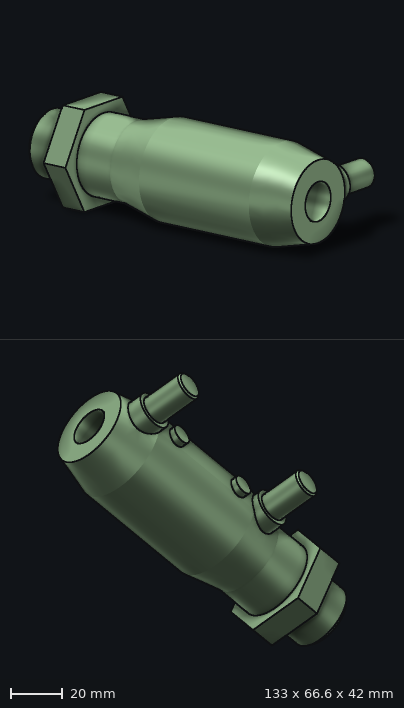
import cadquery as cq
import math

length = 133.0
body_radius = 21.0
neck_radius = 16.8
spigot_radius = 14.0
spigot_chamfer = 2.0
bore_radius = 8.0
nut_start = 16.5
nut_end = 27.3
neck_end = 43.6
barrel_start = 61.3
barrel_end = 115.5

nut_across_flats = 41.2
nut_across_corners = nut_across_flats / math.cos(math.pi / 6)

peg_centres = (54.9, 121.8)
peg_radius = 6.0
peg_chamfer = 0.8
peg_tip = 42.8
collar_radius = 8.0
collar_tip = 24.1
boss_centres = (70.9, 105.7)
boss_radius = 4.1
boss_tip = 23.7
root_depth = 10.6


def make_body():
    """Revolve the stepped, tapered outside of the body."""
    return (
        cq.Workplane("XY")
        .lineTo(0, spigot_radius - spigot_chamfer)
        .lineTo(spigot_chamfer, spigot_radius)
        .lineTo(nut_start, spigot_radius)
        .lineTo(nut_start, neck_radius)
        .lineTo(neck_end, neck_radius)
        .lineTo(barrel_start, body_radius)
        .lineTo(barrel_end, body_radius)
        .lineTo(length, neck_radius)
        .lineTo(length, 0)
        .close()
        .revolve(360, (0, 0), (1, 0))
    )


def make_nut():
    return (
        cq.Workplane("YZ", origin=(nut_start, 0, 0))
        .polygon(6, nut_across_corners)
        .extrude(nut_end - nut_start)
    )


def make_side_cylinder(x, radius, tip):
    """Cylinder pointing along +Y from inside the body wall to the tip."""
    return (
        cq.Workplane("XZ", origin=(x, root_depth, 0))
        .circle(radius)
        .extrude(root_depth - tip)
    )


result = make_body().union(make_nut())

for x in peg_centres:
    peg = make_side_cylinder(x, peg_radius, peg_tip).faces(">Y").chamfer(peg_chamfer)
    result = result.union(peg)
    result = result.union(make_side_cylinder(x, collar_radius, collar_tip))

for x in boss_centres:
    result = result.union(make_side_cylinder(x, boss_radius, boss_tip))

result = result.cut(cq.Workplane("YZ").circle(bore_radius).extrude(length))